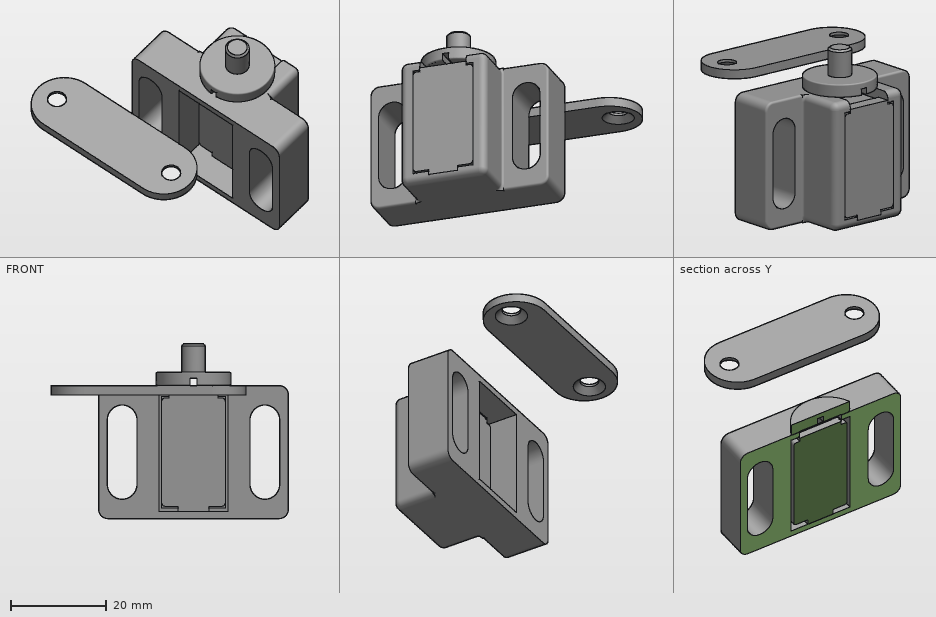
import cadquery as cq
import math


TOTAL_WIDTH = 49.95
TOTAL_DEPTH = 45.85

BASE_WIDTH = 39.95
BASE_DEPTH = 10.0
HOUSING_HEIGHT = 28.0
HOUSING_DEPTH = 20.0
BASE_CORNER_RADIUS = 2.0
TOWER_WIDTH = 19.25
TOWER_EDGE_RADIUS = 1.5
BLEND_RADIUS = 0.5
FOOT_REACH = TOWER_WIDTH / 2 - TOWER_EDGE_RADIUS + 2 * math.sqrt(TOWER_EDGE_RADIUS * BLEND_RADIUS)
SLOT_SPACING = 30.0
SLOT_WIDTH = 6.2
SLOT_LENGTH = 19.8
MID_HEIGHT = HOUSING_HEIGHT / 2

CAVITY_WIDTH = 14.6
CAVITY_HEIGHT = 24.95

STACK_SETBACK = 6.0
POLE_THICKNESS = 3.05
MAGNET_WIDTH = 13.4
MAGNET_HEIGHT = 23.45
POLE_HEIGHT = 22.75
POLE_CORNER_RADIUS = 0.75
TOP_TAB_WIDTH = 10.4
BOTTOM_TAB_WIDTH = 6.45
TOP_TAB_CLEARANCE = 0.25
MAGNET_FRONT = STACK_SETBACK + POLE_THICKNESS
MAGNET_BACK = HOUSING_DEPTH - POLE_THICKNESS

SCREW_Y = 10.5
HEAD_DIAMETER = 15.8
HEAD_HEIGHT = 2.8
HEAD_EDGE = 0.3
STUD_DIAMETER = 5.05
STUD_LENGTH = 6.0
STUD_CHAMFER = 0.45
DRIVER_SLOT_WIDTH = 1.4
DRIVER_SLOT_DEPTH = 1.5

STRIKE_LENGTH = 41.0
STRIKE_WIDTH = 14.0
STRIKE_THICKNESS = 2.0
STRIKE_HOLE_DIAMETER = 4.0
STRIKE_HOLE_SPACING = 31.0
COUNTERSINK_DEPTH = 1.4
STRIKE_X = BASE_WIDTH / 2 - TOTAL_WIDTH + STRIKE_LENGTH / 2
STRIKE_Y = HOUSING_DEPTH - TOTAL_DEPTH + STRIKE_WIDTH / 2


def block(width, front, back, bottom, top):
    """Box centred on X, between the given Y and Z limits."""
    box = cq.Workplane("XY").box(width, back - front, top - bottom, centered=(True, False, False))
    return box.translate((0, front, bottom))


def centred_block(width, height, front, back):
    """Box centred on X and on the mid height of the housing."""
    return block(width, front, back, MID_HEIGHT - height / 2, MID_HEIGHT + height / 2)


def tabs(front, back):
    """Wide upper tab, just short of the cavity top, and narrow lower tab down to the cavity floor."""
    reach = CAVITY_HEIGHT / 2
    upper = block(TOP_TAB_WIDTH, front, back, MID_HEIGHT, MID_HEIGHT + reach - TOP_TAB_CLEARANCE)
    lower = block(BOTTOM_TAB_WIDTH, front, back, MID_HEIGHT - reach, MID_HEIGHT)
    return upper.union(lower)


def base_prism(depth):
    """Base outline with rounded corners, running back from the front face."""
    return block(BASE_WIDTH, 0, depth, 0, HOUSING_HEIGHT).edges("|Y").fillet(BASE_CORNER_RADIUS)


def blended_tower():
    """Tower on an oversize slab, with a fillet all around the foot where they meet."""
    slab_height = HOUSING_HEIGHT + 4 * BLEND_RADIUS
    slab = centred_block(BASE_WIDTH, slab_height, 0, BASE_DEPTH)
    tower = block(TOWER_WIDTH, 0, HOUSING_DEPTH, 0, HOUSING_HEIGHT)
    tower = tower.edges("|Y or >Y").fillet(TOWER_EDGE_RADIUS)
    around_foot = cq.selectors.BoxSelector(
        (-TOWER_WIDTH, BASE_DEPTH - BLEND_RADIUS, -BLEND_RADIUS),
        (TOWER_WIDTH, BASE_DEPTH + BLEND_RADIUS, HOUSING_HEIGHT + BLEND_RADIUS),
        boundingbox=True,
    )
    return slab.union(tower).edges(around_foot).fillet(BLEND_RADIUS)


def rear_edge_trim():
    """Material that rounds the rear edge of the base on both sides of the tower foot."""
    rounded_base = base_prism(BASE_DEPTH).faces(">Y").edges().fillet(BLEND_RADIUS)
    foot = block(2 * FOOT_REACH, 0, HOUSING_DEPTH, 0, HOUSING_HEIGHT)
    return base_prism(BASE_DEPTH).cut(rounded_base).cut(foot)


def make_housing_shell():
    return blended_tower().intersect(base_prism(HOUSING_DEPTH)).cut(rear_edge_trim())


def make_housing():
    housing = make_housing_shell()
    slots = (
        cq.Workplane("XZ", origin=(0, 0, MID_HEIGHT))
        .pushPoints([(-SLOT_SPACING / 2, 0), (SLOT_SPACING / 2, 0)])
        .slot2D(SLOT_LENGTH, SLOT_WIDTH, 90)
        .extrude(-BASE_DEPTH)
    )
    housing = housing.cut(slots)
    housing = housing.cut(centred_block(CAVITY_WIDTH, CAVITY_HEIGHT, 0, MAGNET_FRONT))
    housing = housing.cut(centred_block(MAGNET_WIDTH, MAGNET_HEIGHT, MAGNET_FRONT, HOUSING_DEPTH))
    housing = housing.cut(tabs(MAGNET_FRONT, HOUSING_DEPTH))
    top_notch = block(TOP_TAB_WIDTH, STACK_SETBACK, HOUSING_DEPTH, MID_HEIGHT, HOUSING_HEIGHT)
    return housing.cut(top_notch)


def make_magnet():
    return centred_block(MAGNET_WIDTH, MAGNET_HEIGHT, MAGNET_FRONT, MAGNET_BACK)


def make_pole_plate(front):
    back = front + POLE_THICKNESS
    plate = centred_block(MAGNET_WIDTH, POLE_HEIGHT, front, back)
    plate = plate.edges("|Y").fillet(POLE_CORNER_RADIUS)
    return plate.union(tabs(front, back))


def make_screw():
    head = cq.Workplane("XY").circle(HEAD_DIAMETER / 2).extrude(HEAD_HEIGHT)
    head = head.faces("<Z or >Z").edges().fillet(HEAD_EDGE)
    stud = cq.Workplane("XY", origin=(0, 0, HEAD_HEIGHT)).circle(STUD_DIAMETER / 2).extrude(STUD_LENGTH)
    stud = stud.faces(">Z").chamfer(STUD_CHAMFER)
    driver_slot = cq.Workplane("XY").box(
        DRIVER_SLOT_WIDTH, HEAD_DIAMETER, DRIVER_SLOT_DEPTH, centered=(True, True, False))
    screw = head.union(stud).cut(driver_slot)
    return screw.translate((0, SCREW_Y, HOUSING_HEIGHT))


def make_strike_plate():
    """Round-ended plate with two holes countersunk at 90 degrees from below."""
    plate = cq.Workplane("XY").slot2D(STRIKE_LENGTH, STRIKE_WIDTH).extrude(STRIKE_THICKNESS)
    plate = (
        plate.faces("<Z")
        .workplane()
        .pushPoints([(-STRIKE_HOLE_SPACING / 2, 0), (STRIKE_HOLE_SPACING / 2, 0)])
        .cskHole(STRIKE_HOLE_DIAMETER, STRIKE_HOLE_DIAMETER + 2 * COUNTERSINK_DEPTH, 90)
    )
    return plate.translate((STRIKE_X, STRIKE_Y, HOUSING_HEIGHT - STRIKE_THICKNESS))


housing = make_housing()
magnet = make_magnet()
pole_plates = [make_pole_plate(front) for front in (STACK_SETBACK, MAGNET_BACK)]
screw = make_screw()
strike_plate = make_strike_plate()

result = cq.Compound.makeCompound([
    housing.val(),
    magnet.val(),
    *[plate.val() for plate in pole_plates],
    screw.val(),
    strike_plate.val(),
])